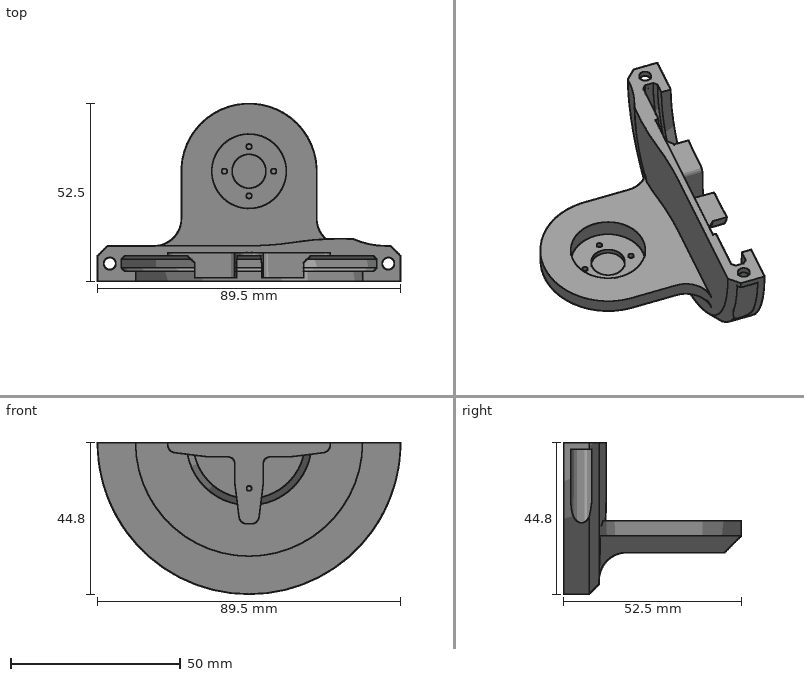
import cadquery as cq
import math

pick_margin = 0.1

disc_radius = 44.75
disc_thickness = 10.5
disc_chamfer = 3.0

mouth_radius = 33.5
lip_thickness = 3.0
groove_radius = 37.75
groove_chamfer = 1.0
pocket_depth = 7.5

boss_radius = 16.5
boss_front = 1.0
boss_foot = 2.0

horn_reach = 24.0
horn_half_width = 4.2
horn_taper_start = 12.0
horn_tip_half_width = 2.7
horn_inner_fillet = 2.0
horn_tip_fillet = 2.4
horn_seat_depth = 8.5
horn_screw_diameter = 1.5
horn_screw_offset = 13.5
horn_screw_depth = 1.5

plate_half_width = 20.0
plate_end_y = 52.5
plate_side_end_y = 33.3
plate_top = -23.0
plate_thickness = 9.5
plate_chamfer = 5.0
plate_root_fillet = 8.0

recess_center_y = 32.5
recess_diameter = 22.0
recess_depth = 5.5
center_hole_diameter = 10.0
center_hole_depth = 1.5
plate_screw_diameter = 1.6
plate_screw_offset = 7.25
plate_screw_count = 4
plate_screw_depth = 2.0

swell_height = 2.1
swell_peak_x = 27.0
swell_rim_radius = 30.6
swell_foot_radius = 40.4
swell_overlap = 1.0

screw_x = 41.1
screw_diameter = 3.5
screw_head_diameter = 6.2
screw_head_depth = 2.0


def half_turn(profile):
    """Revolve a profile on the +X side about the Y axis through the half space below Z = 0."""
    return profile.revolve(180, (0, 0), (0, 1))


def make_envelope():
    """Half disc with its back chamfer, prolonged behind the back face as a straight cylinder."""
    back_radius = disc_radius - disc_chamfer
    return half_turn(cq.Workplane("XY").polyline([
        (0, 0),
        (disc_radius, 0),
        (disc_radius, disc_thickness - disc_chamfer),
        (back_radius, disc_thickness),
        (back_radius, plate_end_y),
        (0, plate_end_y),
    ]).close())


def make_disc_with_plate():
    """Disc with the flared, bottom-chamfered plate behind it.

    The root fillet is made on an oversized slab, which is then trimmed to the disc.
    """
    slab_reach = disc_radius + plate_root_fillet
    slab = cq.Workplane("XY").box(2 * slab_reach, disc_thickness, slab_reach, centered=(True, False, False))
    slab = slab.translate((0, 0, -slab_reach))
    root_y = disc_thickness / 2
    flare_x = plate_half_width + plate_root_fillet
    flare_y = disc_thickness + plate_root_fillet
    flare_reach = plate_root_fillet * (1 - math.sqrt(0.5))
    flare_mid = (plate_half_width + flare_reach, disc_thickness + flare_reach)
    plate = (
        cq.Workplane("XY", origin=(0, 0, plate_top))
        .moveTo(-flare_x, root_y)
        .lineTo(-flare_x, disc_thickness)
        .threePointArc((-flare_mid[0], flare_mid[1]), (-plate_half_width, flare_y))
        .lineTo(-plate_half_width, plate_side_end_y)
        .threePointArc((0, plate_end_y), (plate_half_width, plate_side_end_y))
        .lineTo(plate_half_width, flare_y)
        .threePointArc(flare_mid, (flare_x, disc_thickness))
        .lineTo(flare_x, root_y)
        .close()
        .extrude(-plate_thickness)
    )
    plate_bottom = plate_top - plate_thickness
    lower_edges = cq.selectors.BoxSelector(
        (-2 * flare_x, disc_thickness, plate_bottom - pick_margin),
        (2 * flare_x, 2 * plate_end_y, plate_bottom + pick_margin),
    )
    plate = plate.edges(lower_edges).chamfer(plate_chamfer)
    joined = slab.union(plate)
    root_edge = cq.selectors.BoxSelector(
        (-flare_x, disc_thickness - pick_margin, plate_bottom - pick_margin),
        (flare_x, disc_thickness + pick_margin, plate_bottom + pick_margin),
    )
    filleted = joined.edges(root_edge).fillet(plate_root_fillet)
    return filleted.intersect(make_envelope())


def midpoint_of_rising_arc(foot_x, end_x, end_y):
    """Middle of the arc that leaves the disc's back face tangentially at foot_x and ends at (end_x, end_y)."""
    span = end_x - foot_x
    rise = end_y - disc_thickness
    radius = (span ** 2 + rise ** 2) / (2 * rise)
    half_angle = math.asin(span / radius) / 2
    return (
        foot_x + radius * math.sin(half_angle),
        disc_thickness + radius * (1 - math.cos(half_angle)),
    )


def make_swell():
    """S-shaped ramp along X, blended back to the disc near the rim by a concave ring."""
    peak_y = disc_thickness + swell_height
    middle = (swell_peak_x / 2, disc_thickness + swell_height / 2)
    root_y = disc_thickness - swell_overlap
    low_mid = midpoint_of_rising_arc(0, *middle)
    far_end = (2 * swell_peak_x - middle[0], middle[1])
    ramp = (
        cq.Workplane("XY")
        .moveTo(0, root_y)
        .lineTo(0, disc_thickness)
        .threePointArc(low_mid, middle)
        .threePointArc((swell_peak_x, peak_y), far_end)
        .lineTo(far_end[0], root_y)
        .close()
        .extrude(-disc_radius)
    )
    rim_mid = midpoint_of_rising_arc(swell_foot_radius, swell_rim_radius, peak_y)
    rim = (
        cq.Workplane("XY")
        .moveTo(0, root_y)
        .lineTo(swell_foot_radius, root_y)
        .lineTo(swell_foot_radius, disc_thickness)
        .threePointArc(rim_mid, (swell_rim_radius, peak_y))
        .lineTo(0, peak_y)
        .close()
    )
    return ramp.intersect(half_turn(rim))


def make_pocket():
    back_radius = groove_radius - groove_chamfer
    pocket = half_turn(cq.Workplane("XY").polyline([
        (0, 0),
        (mouth_radius, 0),
        (mouth_radius, lip_thickness),
        (back_radius, lip_thickness),
        (groove_radius, lip_thickness + groove_chamfer),
        (groove_radius, pocket_depth - groove_chamfer),
        (back_radius, pocket_depth),
        (0, pocket_depth),
    ]).close())
    boss = half_turn(cq.Workplane("XY").polyline([
        (0, boss_front),
        (boss_radius, boss_front),
        (boss_radius, pocket_depth - boss_foot),
        (boss_radius + boss_foot, pocket_depth),
        (0, pocket_depth),
    ]).close())
    return pocket.cut(boss)


def make_horn_seat():
    """Four tapered arms; the upper half lies above the cut face and removes nothing."""
    arm = (
        cq.Workplane("XZ")
        .polyline([
            (0, -horn_half_width),
            (horn_taper_start, -horn_half_width),
            (horn_reach, -horn_tip_half_width),
            (horn_reach, horn_tip_half_width),
            (horn_taper_start, horn_half_width),
            (0, horn_half_width),
        ])
        .close()
        .extrude(-horn_seat_depth)
        .edges("|Y and >X").fillet(horn_tip_fillet)
    )
    seat = arm
    for quarter in range(1, 4):
        seat = seat.union(arm.rotate((0, 0, 0), (0, 1, 0), 90 * quarter))
    corner = horn_half_width + pick_margin
    inner_corners = cq.selectors.BoxSelector((-corner, 0, -corner), (corner, horn_seat_depth, corner))
    return seat.edges("|Y").edges(inner_corners).fillet(horn_inner_fillet)


def make_horn_screw_hole():
    return (
        cq.Workplane("XZ", origin=(0, horn_seat_depth, -horn_screw_offset))
        .circle(horn_screw_diameter / 2)
        .extrude(-horn_screw_depth)
    )


def make_plate_recess():
    recess = (
        cq.Workplane("XY", origin=(0, recess_center_y, plate_top))
        .circle(recess_diameter / 2)
        .extrude(-recess_depth)
    )
    floor = cq.Workplane("XY", origin=(0, recess_center_y, plate_top - recess_depth))
    center_hole = floor.circle(center_hole_diameter / 2).extrude(-center_hole_depth)
    screw_holes = (
        floor.polarArray(plate_screw_offset, 0, 360, plate_screw_count)
        .circle(plate_screw_diameter / 2)
        .extrude(-plate_screw_depth)
    )
    return recess.union(center_hole).union(screw_holes)


def make_assembly_screw_hole(x):
    top = cq.Workplane("XY", origin=(x, disc_thickness / 2, 0))
    shank = top.circle(screw_diameter / 2).extrude(-disc_radius)
    seat = top.workplane(offset=-screw_head_depth)
    head_length = disc_radius - screw_head_depth
    head = seat.circle(screw_head_diameter / 2).extrude(-head_length)
    opening = (
        seat.center(math.copysign(screw_head_diameter / 2, x), 0)
        .rect(screw_head_diameter, screw_head_diameter)
        .extrude(-head_length)
    )
    return shank.union(head).union(opening)


result = make_disc_with_plate().union(make_swell())
result = result.cut(make_pocket())
result = result.cut(make_horn_seat())
result = result.cut(make_horn_screw_hole())
result = result.cut(make_plate_recess())
for side in (-1, 1):
    result = result.cut(make_assembly_screw_hole(side * screw_x))